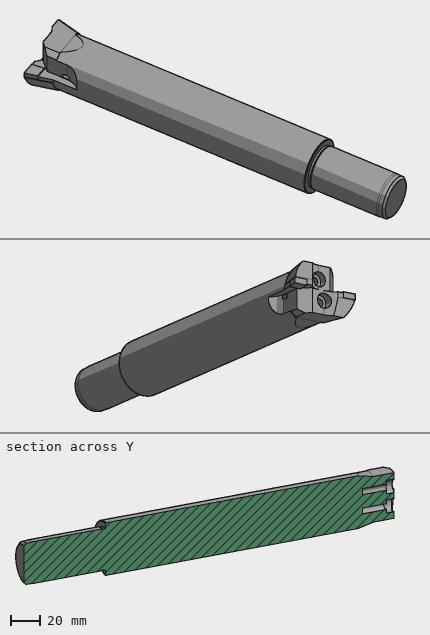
import cadquery as cq
import math

LENGTH = 280.0
OVERSIZE = 84.0

BODY_RADIUS = 40.0 / 2
BODY_END = 219.5
BODY_CHAMFER = 0.5
SPIGOT_RADIUS = 32.0 / 2
GROOVE_RADIUS = 31.5 / 2
NECK_GROOVE_WIDTH = 1.7
NECK_GROOVE_TAPER = 0.8
END_TAPER_START = 273.8
END_TAPER_LENGTH = 1.5
END_CHAMFER = 1.7

HEAD_LENGTH = 20.0
HEAD_CORE_RADIUS = 20.5
TIP_RADIUS = 50.0 / 2
LOBE_RADIUS = 24.0
HEAD_HALF_HEIGHT = 17.5
FLAT_RAMP_ANGLE = 13.3

INSERT_TOP = 0.42
INSERT_THICKNESS = 4.2
INSERT_BOTTOM = INSERT_TOP - INSERT_THICKNESS
INSERT_LENGTH = 9.5
INSERT_FRONT_INNER_Y = -15.0
INSERT_REAR_INNER_Y = -14.0
RAKE_Z = -0.42

GULLET_WALL_Y = -14.8
GULLET_FRONT_Y = -7.3
GULLET_STRAIGHT_END = 28.3
GULLET_RUNOUT_RADIUS = 14.0

RECESS_DEPTH = 4.5
RECESS_OUTER_Y = 10.5
RECESS_TANGENT_Y = 2.2
FACE_RELIEF = 2.2
RELIEF_START_Z = 4.5
BORE_Y = 2.1
BORE_Z = 7.3
COUNTERBORE_DIAMETER = 10.5
COUNTERBORE_DEPTH = 5.5
BORE_DIAMETER = 6.0
BORE_DEPTH = 28.0
NOZZLE_DIAMETER = 3.0
NOZZLE_X = 27.0
NOZZLE_Z = 1.7
NOZZLE_ANGLE = 30
NOZZLE_DEPTH = 16.8

FLUTE_ANGLES = (0, 180)
X_AXIS = cq.Vector(1, 0, 0)
FLARE_SLOPE = (TIP_RADIUS - BODY_RADIUS) / HEAD_LENGTH


def turned(shape, angle):
    """Turn a shape about the cutter axis."""
    return shape.rotate((0, 0, 0), (1, 0, 0), angle)


def make_shank():
    """Turned body and spigot behind the head."""
    neck_taper_start = BODY_END + NECK_GROOVE_WIDTH
    return (
        cq.Workplane("XY")
        .moveTo(HEAD_LENGTH, 0)
        .lineTo(HEAD_LENGTH, BODY_RADIUS)
        .lineTo(BODY_END - BODY_CHAMFER, BODY_RADIUS)
        .lineTo(BODY_END, BODY_RADIUS - BODY_CHAMFER)
        .lineTo(BODY_END, GROOVE_RADIUS)
        .lineTo(neck_taper_start, GROOVE_RADIUS)
        .lineTo(neck_taper_start + NECK_GROOVE_TAPER, SPIGOT_RADIUS)
        .lineTo(END_TAPER_START, SPIGOT_RADIUS)
        .lineTo(END_TAPER_START + END_TAPER_LENGTH, GROOVE_RADIUS)
        .lineTo(LENGTH - END_CHAMFER, GROOVE_RADIUS)
        .lineTo(LENGTH, GROOVE_RADIUS - END_CHAMFER)
        .lineTo(LENGTH, 0)
        .close()
        .revolve(360, (0, 0, 0), (1, 0, 0))
    )


def make_core():
    """Middle of the head between the two gullet walls."""
    width = -2 * GULLET_WALL_Y
    core = cq.Workplane("YZ").circle(HEAD_CORE_RADIUS).extrude(HEAD_LENGTH)
    return core.intersect(cq.Workplane("YZ").rect(width, OVERSIZE).extrude(HEAD_LENGTH))


def make_lobe():
    """Flared tooth below the rake face on the -Y side, with a land level with the insert side."""
    axis = cq.Vector(1, FLARE_SLOPE, 0)
    start = axis * -OVERSIZE
    back = cq.Solid.makeCylinder(LOBE_RADIUS, 2 * OVERSIZE * axis.Length, start, axis)
    limits = cq.Workplane("XY").box(HEAD_LENGTH, OVERSIZE, OVERSIZE, centered=False)
    limits = limits.translate((0, -OVERSIZE, RAKE_Z - OVERSIZE))
    land = (
        cq.Workplane("XY", origin=(0, 0, INSERT_BOTTOM))
        .moveTo(0, 0)
        .lineTo(0, -TIP_RADIUS)
        .lineTo(HEAD_LENGTH, -BODY_RADIUS)
        .lineTo(HEAD_LENGTH, 0)
        .close()
        .extrude(RAKE_Z - INSERT_BOTTOM)
    )
    return limits.intersect(cq.Workplane(back)).union(land)


def make_flat_cut():
    """Flat on top of the head with a sloped run-out into the body."""
    ramp_rise = OVERSIZE * math.tan(math.radians(FLAT_RAMP_ANGLE))
    return (
        cq.Workplane("XZ")
        .moveTo(0, HEAD_HALF_HEIGHT)
        .lineTo(HEAD_LENGTH, HEAD_HALF_HEIGHT)
        .lineTo(HEAD_LENGTH + OVERSIZE, HEAD_HALF_HEIGHT + ramp_rise)
        .lineTo(0, HEAD_HALF_HEIGHT + ramp_rise)
        .close()
        .extrude(OVERSIZE, both=True)
    )


def make_gullet():
    """Chip space above the rake face: slanted lead-in, straight wall, round run-out."""
    wall_start = RECESS_DEPTH + GULLET_FRONT_Y - GULLET_WALL_Y
    runout_end = GULLET_STRAIGHT_END + GULLET_RUNOUT_RADIUS
    runout_mid = (
        GULLET_STRAIGHT_END + GULLET_RUNOUT_RADIUS * math.sin(math.pi / 4),
        GULLET_WALL_Y - GULLET_RUNOUT_RADIUS * (1 - math.cos(math.pi / 4)),
    )
    return (
        cq.Workplane("XY", origin=(0, 0, RAKE_Z))
        .moveTo(0, GULLET_FRONT_Y)
        .lineTo(RECESS_DEPTH, GULLET_FRONT_Y)
        .lineTo(wall_start, GULLET_WALL_Y)
        .lineTo(GULLET_STRAIGHT_END, GULLET_WALL_Y)
        .threePointArc(runout_mid, (runout_end, GULLET_WALL_Y - GULLET_RUNOUT_RADIUS))
        .lineTo(0, GULLET_WALL_Y - GULLET_RUNOUT_RADIUS)
        .close()
        .extrude(OVERSIZE)
    )


def make_face_recess():
    """Recess in the upper half of the front face, rounded up to the +Y lobe."""
    half_chord = (RECESS_OUTER_Y - RECESS_TANGENT_Y) / 2
    arc_width = 2 * half_chord
    radius = (arc_width ** 2 + RECESS_DEPTH ** 2) / (2 * RECESS_DEPTH)
    mid_x = RECESS_DEPTH - radius + math.sqrt(radius ** 2 - half_chord ** 2)
    return (
        cq.Workplane("XY")
        .moveTo(0, GULLET_FRONT_Y)
        .lineTo(RECESS_DEPTH, GULLET_FRONT_Y)
        .lineTo(RECESS_DEPTH, RECESS_TANGENT_Y)
        .threePointArc((mid_x, RECESS_TANGENT_Y + half_chord), (0, RECESS_OUTER_Y))
        .close()
        .extrude(OVERSIZE)
    )


def make_face_relief():
    """Wedge that slopes the front face back above the insert thickness."""
    return (
        cq.Workplane("XZ")
        .moveTo(0, RELIEF_START_Z)
        .lineTo(FACE_RELIEF, HEAD_HALF_HEIGHT)
        .lineTo(0, HEAD_HALF_HEIGHT)
        .close()
        .extrude(OVERSIZE, both=True)
    )


def make_bore():
    """Counterbored blind bore in the front face."""
    mouth = cq.Vector(0, BORE_Y, BORE_Z)
    counterbore_end = RECESS_DEPTH + COUNTERBORE_DEPTH
    bore = cq.Solid.makeCylinder(BORE_DIAMETER / 2, BORE_DEPTH, mouth, X_AXIS)
    counterbore = cq.Solid.makeCylinder(COUNTERBORE_DIAMETER / 2, counterbore_end, mouth, X_AXIS)
    return cq.Workplane(bore).union(cq.Workplane(counterbore))


def make_nozzle():
    """Slanted blind hole in the gullet wall, aimed at the insert."""
    angle = math.radians(NOZZLE_ANGLE)
    inward = cq.Vector(math.cos(angle), math.sin(angle), 0)
    overshoot = 2 * NOZZLE_DIAMETER
    start = cq.Vector(NOZZLE_X, GULLET_WALL_Y, NOZZLE_Z) - inward * overshoot
    length = NOZZLE_DEPTH + overshoot
    return cq.Workplane(cq.Solid.makeCylinder(NOZZLE_DIAMETER / 2, length, start, inward))


def make_insert():
    """Cutting insert of the -Y lobe, its outer side following the flare."""
    return (
        cq.Workplane("XY", origin=(0, 0, INSERT_BOTTOM))
        .moveTo(0, -TIP_RADIUS)
        .lineTo(INSERT_LENGTH, -TIP_RADIUS + FLARE_SLOPE * INSERT_LENGTH)
        .lineTo(INSERT_LENGTH, INSERT_REAR_INNER_Y)
        .lineTo(0, INSERT_FRONT_INNER_Y)
        .close()
        .extrude(INSERT_THICKNESS)
    )


def make_insert_pocket():
    """Seat of the insert, open at the front, top and outer side."""
    return (
        cq.Workplane("XY", origin=(0, 0, INSERT_BOTTOM))
        .moveTo(0, -OVERSIZE)
        .lineTo(INSERT_LENGTH, -OVERSIZE)
        .lineTo(INSERT_LENGTH, INSERT_REAR_INNER_Y)
        .lineTo(0, INSERT_FRONT_INNER_Y)
        .close()
        .extrude(INSERT_THICKNESS)
    )


def make_holder():
    """One-piece cutter body with two insert seats."""
    holder = make_shank().union(make_core())
    for angle in FLUTE_ANGLES:
        holder = holder.union(turned(make_lobe(), angle))
    cuts = (
        make_flat_cut(),
        make_gullet(),
        make_face_recess(),
        make_face_relief(),
        make_insert_pocket(),
        make_bore(),
        make_nozzle(),
    )
    for angle in FLUTE_ANGLES:
        for cut in cuts:
            holder = holder.cut(turned(cut, angle))
    return holder


holder = make_holder()
inserts = [turned(make_insert(), angle).val() for angle in FLUTE_ANGLES]

result = cq.Compound.makeCompound([*holder.vals(), *inserts])